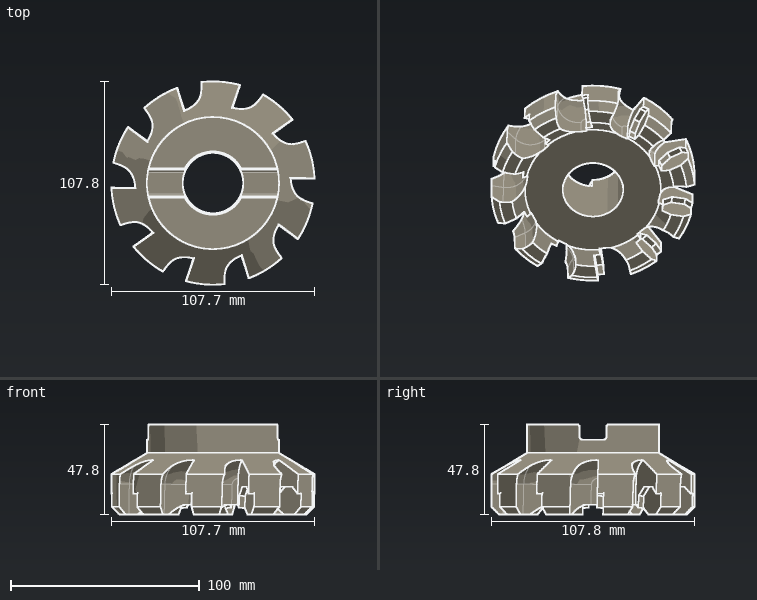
import cadquery as cq
import math

total_height = 47.78
rim_radius = 53.9
rim_top = 21.5
edge_chamfer = 4.2
hub_radius = 35.0
hub_base = 32.7

bore_radius = 16.0
bore_chamfer = 0.8
slot_width = 14.2
slot_depth = 8.0
slot_floor_fillet = 1.5
slot_edge_chamfer = 0.8

recess_mouth_radius = 43.0
recess_floor_radius = 36.0
recess_depth = 5.2

tooth_count = 10
axial_rake = 1.6
face_offset = 2.0
gullet_width = 14.3
gullet_round_start = 15.9
gullet_back = 35.4
gullet_fillet = 10.9
seat_depth = 3.3
seat_across_flats = 16.9
octagon_sides = 8
seat_centre_x = 46.45
seat_centre_z = 6.45

clearance = 10.0


def make_body():
    """Hub, conical shoulder and chamfered rim, with bore and end recess removed."""
    outline = [
        (bore_radius, recess_depth),
        (recess_floor_radius, recess_depth),
        (recess_mouth_radius, 0),
        (rim_radius - edge_chamfer, 0),
        (rim_radius, edge_chamfer),
        (rim_radius, rim_top),
        (hub_radius, hub_base),
        (hub_radius, total_height),
        (bore_radius + bore_chamfer, total_height),
        (bore_radius, total_height - bore_chamfer),
    ]
    return cq.Workplane("XZ").polyline(outline).close().revolve(360, (0, 0), (0, 1))


def make_drive_slot():
    """Slot along X across the hub, with rounded floor corners and chamfered top edges."""
    length = 2 * (hub_radius + clearance)
    slot = (
        cq.Workplane("XY", origin=(0, 0, total_height - slot_depth))
        .box(length, slot_width, slot_depth, centered=(True, True, False))
        .edges("|X and <Z")
        .fillet(slot_floor_fillet)
    )
    half_width = slot_width / 2
    flare = (
        cq.Workplane("YZ", origin=(-length / 2, 0, 0))
        .moveTo(-half_width - slot_edge_chamfer, total_height)
        .lineTo(half_width + slot_edge_chamfer, total_height)
        .lineTo(half_width, total_height - slot_edge_chamfer)
        .lineTo(-half_width, total_height - slot_edge_chamfer)
        .close()
        .extrude(length)
    )
    return slot.union(flare)


def make_gullet():
    """Chip gullet on the -Y side of the tooth face Y = 0: round top, filleted back wall."""
    reach = rim_radius + clearance - gullet_back
    diagonal = gullet_width * math.sqrt(0.5)
    return (
        cq.Workplane("YZ", origin=(gullet_back, 0, 0))
        .moveTo(0, -clearance)
        .lineTo(-gullet_width, -clearance)
        .lineTo(-gullet_width, gullet_round_start)
        .threePointArc(
            (-diagonal, gullet_round_start + diagonal),
            (0, gullet_round_start + gullet_width),
        )
        .close()
        .extrude(reach)
        .faces("<X")
        .edges("<Y or %CIRCLE")
        .fillet(gullet_fillet)
    )


def make_insert_seat():
    """Octagonal insert pocket sunk from the tooth face Y = 0 into the tooth (+Y)."""
    octagon_diameter = seat_across_flats / math.cos(math.pi / octagon_sides)
    return (
        cq.Workplane("XZ", origin=(seat_centre_x, 0, seat_centre_z))
        .transformed(rotate=(0, 0, 180 / octagon_sides))
        .polygon(octagon_sides, octagon_diameter)
        .extrude(-seat_depth)
    )


def make_tooth_cutter():
    """Gullet and seat together, tilted to the rake and moved out to the face offset."""
    cutter = make_gullet().union(make_insert_seat())
    return cutter.rotate((0, 0, 0), (1, 0, 0), -axial_rake).translate((0, face_offset, 0))


result = make_body().cut(make_drive_slot())
tooth_cutter = make_tooth_cutter()
for index in range(tooth_count):
    turn = index * 360 / tooth_count
    result = result.cut(tooth_cutter.rotate((0, 0, 0), (0, 0, 1), turn))